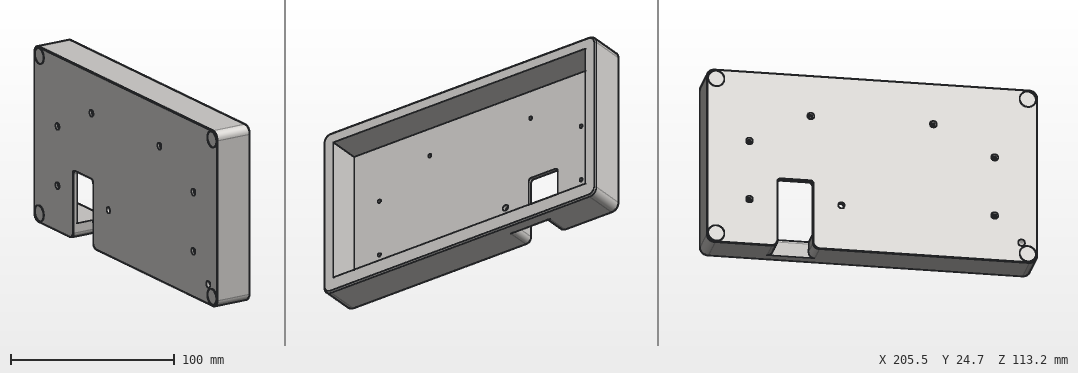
import cadquery as cq

width = 205.5
depth = 24.7
height = 113.2
corner_radius = 5.1
rim_chamfer = 1.0
floor_chamfer = 0.51
floor_thickness = 3.0
floor_y = -depth / 2
rim_y = depth / 2
bottom_z = -height / 2

cavity_width = 190.5
columns = 10
rows = 5
pitch = cavity_width / columns
side_wall = (width - cavity_width) / 2
bottom_wall = 9.7
cavity_top_z = height / 2 - side_wall
cavity_bottom_z = bottom_z + bottom_wall
grid_z = cavity_top_z - rows * pitch / 2

screw_diameter = 2.3
countersink_diameter = 4.3
countersink_depth = countersink_diameter / 2
screw_places = [(-4, -1.5), (-4, 0.5), (-2, 1.5), (2, 1.5), (4, 0.5), (4, -1.5)]
access_diameter = 4.0
access_place = (-1, -1.5)

dimple_x = 92.9
dimple_z = -43.8

foot_diameter = 10.0
foot_inset = 6.0
foot_depth = 0.5

notch_x = -2.5 * pitch
notch_width = 21.8
notch_top_z = -12.5
notch_top_radius = 2.0
notch_mouth_radius = 4.0
notch_inner_depth = 14.4
notch_outer_depth = 16.2
notch_lip = 1.2


def tray_body():
    block = cq.Workplane("XY").box(width, depth, height)
    block = block.edges("|Y").fillet(corner_radius)
    block = block.faces(">Y").chamfer(rim_chamfer)
    cavity_height = cavity_top_z - cavity_bottom_z
    cavity_depth = depth - floor_thickness
    cavity = cq.Workplane("XY").box(cavity_width, cavity_depth, cavity_height)
    cavity_center_z = (cavity_top_z + cavity_bottom_z) / 2
    return block.cut(cavity.translate((0, rim_y - cavity_depth / 2, cavity_center_z)))


def notch_cutter():
    """Notch with a sloping back face that gets deeper toward the bottom."""
    inner_y = floor_y + notch_inner_depth
    cutter = (
        cq.Workplane("YZ")
        .moveTo(floor_y, bottom_z)
        .lineTo(floor_y + notch_outer_depth, bottom_z)
        .lineTo(inner_y, cavity_bottom_z - notch_lip)
        .lineTo(inner_y, notch_top_z)
        .lineTo(floor_y, notch_top_z)
        .close()
        .extrude(notch_width / 2, both=True)
        .translate((notch_x, 0, 0))
    )
    return cutter.edges("|Y and >Z").fillet(notch_top_radius)


def notch_mouth_edges():
    """Select the two edges where the notch sides meet the bottom of the case."""
    margin = 0.2
    return cq.selectors.BoxSelector(
        (notch_x - notch_width, floor_y - margin, bottom_z - margin),
        (notch_x + notch_width, rim_y + margin, bottom_z + margin),
    )


def rod(x, z, diameter, length):
    """Cylinder that goes from the floor face toward +Y."""
    return cq.Solid.makeCylinder(diameter / 2, length, cq.Vector(x, floor_y, z), cq.Vector(0, 1, 0))


def cone(x, z, diameter, length):
    """Cone with its base on the floor face and its tip toward +Y."""
    return cq.Solid.makeCone(diameter / 2, 0, length, cq.Vector(x, floor_y, z), cq.Vector(0, 1, 0))


def grid_point(column, row):
    return column * pitch, grid_z + row * pitch


result = tray_body().cut(notch_cutter())
result = result.edges("|Y").edges(notch_mouth_edges()).fillet(notch_mouth_radius)
result = result.faces("<Y").chamfer(floor_chamfer)

for column, row in screw_places:
    x, z = grid_point(column, row)
    result = result.cut(rod(x, z, screw_diameter, floor_thickness))
    result = result.cut(cone(x, z, countersink_diameter, countersink_depth))

access_x, access_z = grid_point(*access_place)
result = result.cut(rod(access_x, access_z, access_diameter, floor_thickness))

for x_side in (-1, 1):
    for z_side in (-1, 1):
        foot_x = x_side * (width / 2 - foot_inset)
        foot_z = z_side * (height / 2 - foot_inset)
        result = result.cut(rod(foot_x, foot_z, foot_diameter, foot_depth))

result = result.cut(cone(dimple_x, dimple_z, countersink_diameter, countersink_depth))